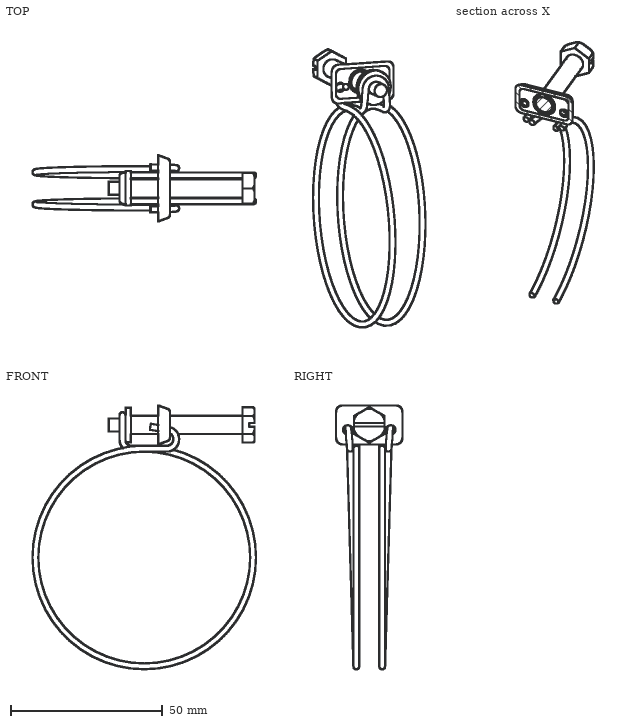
import cadquery as cq
import math


wire_d = 2.0
ring_outer_d = 74.0
inner_track_y = 4.3
track_gap = 0.1
bolt_z = 43.85

tip_x = -11.8
tip_r = 2.2
disc_x = -6.2
disc_thickness = 1.75
disc_r = 5.8
shank_r = 3.1
head_x = 32.4
head_length = 4.1
head_corner_r = 5.85
head_chamfer = 0.5
slot_depth = 1.75
slot_width = 1.1

loop_r = 3.6
loop_drop = 0.35
leg_bend_r = 3.0

hook_start_x = 7.4
hook_end_x = 2.0
hook_r = 3.15
hook_lean = math.radians(4.6)
hook_rise = math.radians(10)

bridge_x = 4.5
bridge_depth = 4.0
bridge_width = 22.0
bridge_height = 13.0
bridge_corner_r = 2.45
bridge_taper = 20.0
bridge_back_fillet = 1.3
rim_width = 1.5
pocket_depth = 2.2
pocket_corner_r = 1.9
pocket_fillet = 0.7
bolt_hole_r = 3.5
hook_hole_r = 1.5
hook_hole_offset = 0.3
collar_r = 3.9
collar_height = 0.8

wire_r = wire_d / 2
ring_r = ring_outer_d / 2 - wire_r
outer_track_y = inner_track_y + wire_d + track_gap
leg_x = disc_x - wire_r
loop_z = bolt_z - loop_drop
hook_arc_angle = math.pi - hook_rise
hook_arc_end_x = hook_start_x + hook_r * math.sin(hook_arc_angle)
hook_arc_end_rise = hook_r * (1 - math.cos(hook_arc_angle))
floor_mid_x = bridge_x + (pocket_depth + bridge_depth) / 2


def x_cylinder(x, length, radius, y=0.0, z=bolt_z):
    """Cylinder along +X that starts at x."""
    return cq.Workplane("YZ", origin=(x, y, z)).circle(radius).extrude(length)


def make_bolt():
    body = x_cylinder(tip_x, head_x - disc_x, tip_r)
    body = body.union(x_cylinder(disc_x, disc_thickness, disc_r))
    body = body.union(x_cylinder(disc_x, head_x - disc_x, shank_r))
    return body.union(make_head())


def make_head():
    head_end = head_x + head_length
    head = (
        cq.Workplane("YZ", origin=(head_x, 0, bolt_z))
        .transformed(rotate=(0, 0, 90))
        .polygon(6, 2 * head_corner_r)
        .extrude(head_length)
    )
    chamfered_disc = x_cylinder(head_x, head_length, head_corner_r).faces(">X").chamfer(head_chamfer)
    slot = cq.Workplane("XY").box(2 * slot_depth, 3 * head_corner_r, slot_width)
    return head.intersect(chamfered_disc).cut(slot.translate((head_end, 0, bolt_z)))


def tapered_block(width, height, depth, corner_r):
    """Block that narrows towards +X, with its four slanted corners rounded."""
    return (
        cq.Workplane("YZ", origin=(bridge_x, 0, bolt_z))
        .rect(width, height)
        .extrude(depth, taper=bridge_taper)
        .edges("not #X")
        .fillet(corner_r)
    )


def hook_rise_at(x):
    """Distance up the hook plane of the hook's straight end at x."""
    return hook_arc_end_rise + (hook_arc_end_x - x) * math.tan(hook_rise)


def make_bridge():
    body = tapered_block(bridge_width, bridge_height, bridge_depth, bridge_corner_r)
    body = body.faces(">X").edges().fillet(bridge_back_fillet)
    pocket = tapered_block(
        bridge_width - 2 * rim_width, bridge_height - 2 * rim_width, pocket_depth, pocket_corner_r
    )
    body = body.cut(pocket.faces(">X").edges().fillet(pocket_fillet))
    floor_x = bridge_x + pocket_depth
    body = body.union(x_cylinder(floor_x - collar_height, collar_height, collar_r))
    body = body.cut(x_cylinder(bridge_x, bridge_depth, bolt_hole_r))
    rise = hook_rise_at(floor_mid_x)
    hole_y = outer_track_y + rise * math.sin(hook_lean) + hook_hole_offset
    hole_z = ring_r + rise * math.cos(hook_lean)
    for side in (1, -1):
        body = body.cut(x_cylinder(bridge_x, bridge_depth, hook_hole_r, side * hole_y, hole_z))
    return body


def hook_point(x, rise):
    """Point of the leaning hook plane, at a distance up from the top of the ring."""
    return cq.Vector(x, outer_track_y + rise * math.sin(hook_lean), ring_r + rise * math.cos(hook_lean))


def hook_arc_point(angle):
    return hook_point(hook_start_x + hook_r * math.sin(angle), hook_r * (1 - math.cos(angle)))


def hook_edges():
    tip = hook_point(hook_end_x, hook_rise_at(hook_end_x))
    arc_end = hook_arc_point(hook_arc_angle)
    start = hook_arc_point(0)
    return [
        cq.Edge.makeLine(tip, arc_end),
        cq.Edge.makeThreePointArc(arc_end, hook_arc_point(hook_arc_angle / 2), start),
        cq.Edge.makeLine(start, cq.Vector(0, outer_track_y, ring_r)),
    ]


def ring_edges():
    """The -X half slants from the outer to the inner track; the +X half stays on the inner track."""
    half_shift = (outer_track_y - inner_track_y) / 2
    slant_r = math.hypot(ring_r, half_shift)
    outer_top = cq.Vector(0, outer_track_y, ring_r)
    far_side = cq.Vector(-slant_r, inner_track_y + half_shift, 0)
    bottom = cq.Vector(0, inner_track_y, -ring_r)
    near_side = cq.Vector(ring_r, inner_track_y, 0)
    inner_top = cq.Vector(0, inner_track_y, ring_r)
    return [
        cq.Edge.makeThreePointArc(outer_top, far_side, bottom),
        cq.Edge.makeThreePointArc(bottom, near_side, inner_top),
    ]


def loop_edges():
    """Bend up from the ring, a leg leaning towards the bolt, and half of the loop over the tip."""
    rise_to_loop = loop_z - ring_r
    centre_distance = math.hypot(inner_track_y, rise_to_loop)
    lean = math.acos(loop_r / centre_distance) - math.atan2(rise_to_loop, inner_track_y)

    def leg_point(x, rise):
        return cq.Vector(x, inner_track_y - rise * math.sin(lean), ring_r + rise * math.cos(lean))

    def loop_point(angle):
        return cq.Vector(leg_x, loop_r * math.cos(angle), loop_z + loop_r * math.sin(angle))

    bend_x = leg_x + leg_bend_r
    bend_start = leg_point(bend_x, 0)
    bend_reach = leg_bend_r * math.sqrt(0.5)
    bend_mid = leg_point(bend_x - bend_reach, leg_bend_r - bend_reach)
    bend_end = leg_point(leg_x, leg_bend_r)
    loop_start = loop_point(lean)
    loop_top = loop_point(math.pi / 2)
    loop_mid = loop_point((lean + math.pi / 2) / 2)
    return [
        cq.Edge.makeLine(cq.Vector(0, inner_track_y, ring_r), bend_start),
        cq.Edge.makeThreePointArc(bend_start, bend_mid, bend_end),
        cq.Edge.makeLine(bend_end, loop_start),
        cq.Edge.makeThreePointArc(loop_start, loop_mid, loop_top),
    ]


def make_wire():
    path = cq.Wire.assembleEdges(hook_edges() + ring_edges() + loop_edges())
    section = cq.Plane(origin=path.startPoint(), normal=path.tangentAt(0))
    half = cq.Workplane(section).circle(wire_r).sweep(cq.Workplane(path))
    return half.union(half.mirror("XZ"))


bolt = make_bolt()
bridge = make_bridge()
wire = make_wire()

result = cq.Compound.makeCompound([bolt.solids().val(), bridge.solids().val(), wire.solids().val()])